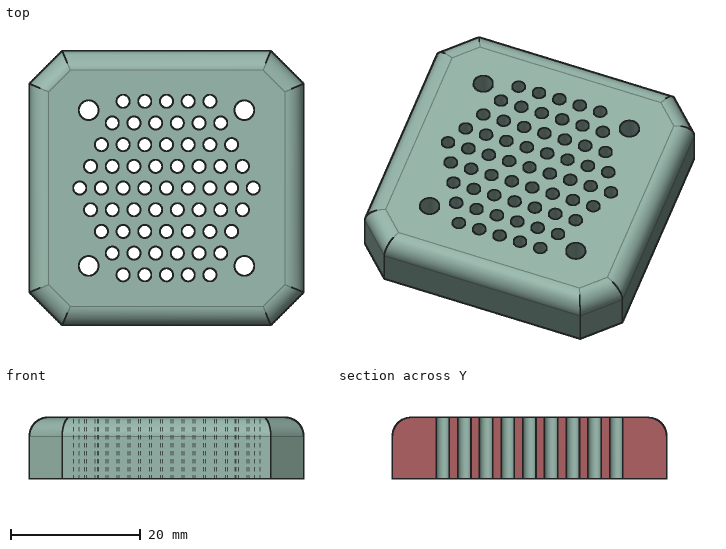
import cadquery as cq

side = 42.3
height = 9.5
corner_chamfer = 5.08
top_round = 2.95

screw_hole_diameter = 3.0
screw_hole_spacing = 24.0

vent_diameter = 2.0
vent_pitch = 3.35
middle_row_count = 9
rows_each_side = 4


def vent_centers():
    """Centres of the small holes, each row centred on the block."""
    centers = []
    for row in range(-rows_each_side, rows_each_side + 1):
        count = middle_row_count - abs(row)
        for column in range(count):
            x = (column - (count - 1) / 2) * vent_pitch
            centers.append((x, row * vent_pitch))
    return centers


def make_block():
    """Square block with cut corners and a rounded top rim."""
    block = cq.Workplane("XY").box(side, side, height, centered=(True, True, False))
    block = block.edges("|Z").chamfer(corner_chamfer)
    return block.faces(">Z").edges().fillet(top_round)


def drill_screw_holes(body):
    """Drill the four corner holes through the block."""
    top = body.faces(">Z").workplane(origin=(0, 0, height))
    corners = top.rect(screw_hole_spacing, screw_hole_spacing, forConstruction=True).vertices()
    return corners.hole(screw_hole_diameter)


def drill_vents(body):
    """Drill the field of small holes through the block."""
    top = body.faces(">Z").workplane(origin=(0, 0, height))
    return top.pushPoints(vent_centers()).hole(vent_diameter)


result = drill_vents(drill_screw_holes(make_block()))